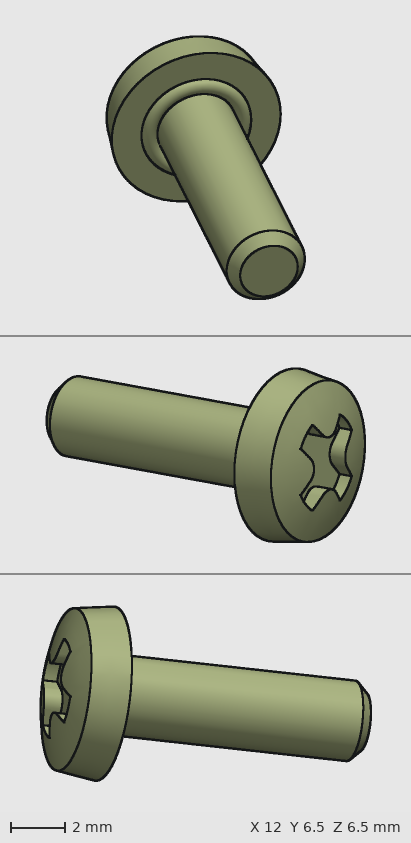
import cadquery as cq
import math

overall_length = 12.04
head_height = 2.03
head_radius = 3.25
dome_rim_radius = 3.03
dome_rise = 0.53

shank_radius = 1.5
shank_length = overall_length - head_height
tip_radius = 1.11
tip_chamfer_length = 0.43

ring_section_radius = 0.3
ring_center_radius = shank_radius + ring_section_radius

recess_reach = 1.87
recess_wing_width = 1.07
recess_root_radius = 0.6
recess_depth = 0.71
cut_clearance = 0.12

wing_half_width = recess_wing_width / 2
corner_tip_radius = math.sqrt(2) * (wing_half_width + recess_root_radius) - recess_root_radius
dome_center_offset = (dome_rise**2 + dome_rim_radius**2 - corner_tip_radius**2) / (2 * dome_rise)
dome_radius = math.hypot(dome_center_offset, corner_tip_radius)
dome_center_x = dome_center_offset - head_height
dome_apex_x = dome_center_x - dome_radius
dome_rim_x = dome_rise - head_height
dome_middle_radius = dome_rim_radius / 2
dome_middle_x = dome_center_x - math.sqrt(dome_radius**2 - dome_middle_radius**2)


def revolve_about_x(profile):
    return profile.revolve(360, (0, 0, 0), (1, 0, 0))


def make_recess_cutter():
    """Cross-shaped prism with rounded inner corners and wing ends on a common cylinder."""
    cutter_start = dome_apex_x - cut_clearance
    cutter_length = recess_depth - head_height - cutter_start
    plane = cq.Workplane("YZ", origin=(cutter_start, 0, 0))
    wing = plane.rect(2 * recess_reach + 2 * cut_clearance, recess_wing_width).extrude(cutter_length)
    cross = wing.union(wing.rotate((0, 0, 0), (1, 0, 0), 90))
    inner_corners = cq.selectors.BoxSelector(
        (cutter_start - cut_clearance, -recess_wing_width, -recess_wing_width),
        (0, recess_wing_width, recess_wing_width),
    )
    cross = cross.edges("|X").edges(inner_corners).fillet(recess_root_radius)
    reach_limit = plane.circle(recess_reach).extrude(cutter_length)
    return cross.intersect(reach_limit).rotate((0, 0, 0), (1, 0, 0), 45)


def make_sealing_ring():
    """Round-section ring, half sunk into the underside of the head."""
    section = cq.Workplane("XY").pushPoints([(0, ring_center_radius)]).circle(ring_section_radius)
    return revolve_about_x(section)


def make_screw():
    profile = (
        cq.Workplane("XY")
        .moveTo(dome_apex_x, 0)
        .threePointArc((dome_middle_x, dome_middle_radius), (dome_rim_x, dome_rim_radius))
        .lineTo(0, head_radius)
        .lineTo(0, shank_radius)
        .lineTo(shank_length - tip_chamfer_length, shank_radius)
        .lineTo(shank_length, tip_radius)
        .lineTo(shank_length, 0)
        .close()
    )
    body = revolve_about_x(profile)
    ring_groove = make_sealing_ring()
    return body.cut(make_recess_cutter()).cut(ring_groove)


screw = make_screw()
sealing_ring = make_sealing_ring()
result = cq.Compound.makeCompound([*screw.solids().vals(), *sealing_ring.solids().vals()])